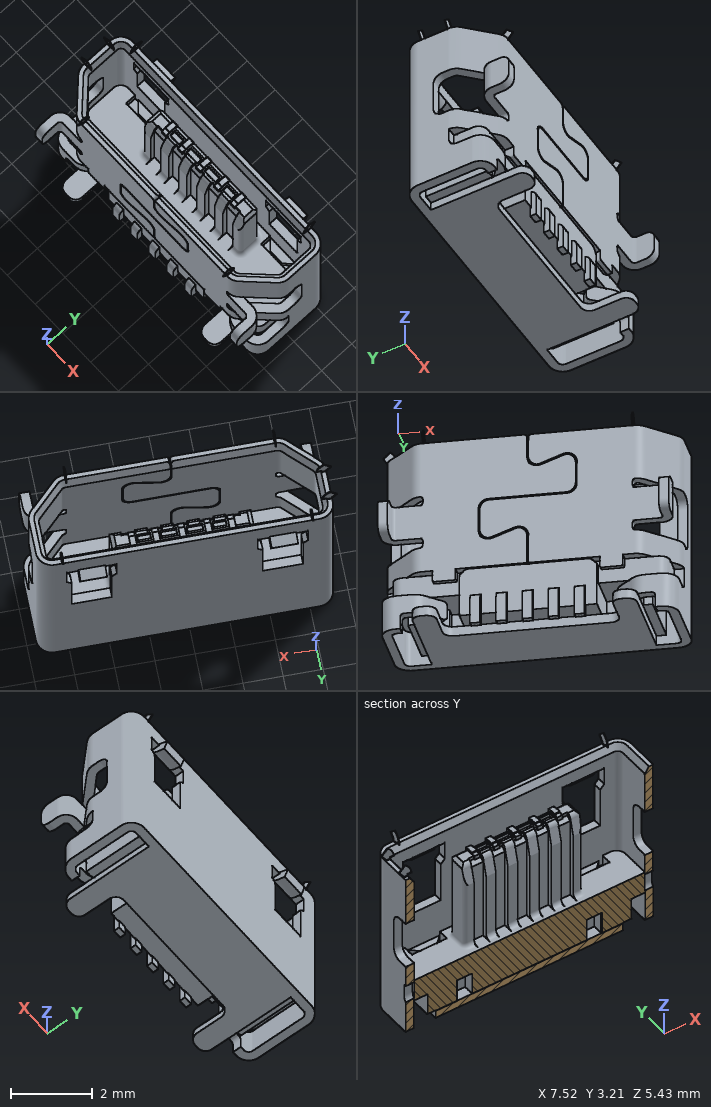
import cadquery as cq
import math


sheet = 0.25
half_width = 3.7
depth = 2.35
rim_z = 5.0
corner_radius = 0.4
mouth_corner_leg = 0.9
mouth_bottom_z = 1.5
inner_half = half_width - sheet
inner_rear = depth - sheet
rim_bevel_width = 0.12
rim_bevel_height = 0.19

window_z = (2.15, 3.55)
window_rear_y = 1.5
window_end_x = 2.61
side_notch_z = 0.9
side_notch_rear_y = 1.065
opening_radius = 0.25
slot_end_radius = 0.09
latch_x = 2.38
latch_upper_width = 1.25
latch_lower_width = 1.0
latch_window_z = (2.6, 4.42)
latch_step_z = 3.84
latch_tab_width = 0.66
latch_tab_root = 0.06
latch_tab_upper_tip = (2.61, 4.36)
latch_tab_lower_tip = (2.507, 4.127)
latch_tab_underside_z = 4.18
latch_tab_bend_middle = (2.18, 4.28)

seam_gap = 0.035
seam_half_width = 1.21
seam_centre_z = 3.32
seam_radius = 0.24
seam_tilt = math.tan(math.radians(20))
seam_slant_z = 0.725
seam_lip_radius = 0.08

arm_z = (2.41, 3.31)
arm_overlap = 0.06
leg_outer_x = 3.63
leg_bend_radius = 0.35
leg_tip_y = -0.6
tab_x = (1.8, 2.373)
tab_bottom_z = 1.2
tab_corner = 0.04
flap_bend_x = 2.92
flap_radius = 0.5
flap_end_x = 2.12
flap_bottom_z = 0.41
flap_corner = 0.1
skirt_end_x = 3.18
base_half_width = 2.8
base_front_y = 0.65
peg_width = 0.6
peg_radius = 0.25

fin_thickness = 0.02
fin_root = 0.06
fin_bottom_z = 5.05
fin_outer_tip = (-0.12, 5.21)
fin_inner_tip = (0.056, 5.38)
fin_bend_middle = (0.185, 5.24)
rear_fin_x = 3.115
front_fin_x = 2.61
left_fin_y = (1.11, 1.86)

floor_z = 1.58
flange_radius = 0.27
block_half_width = 1.715
block_front_y = 0.067
block_corner = 0.15
foot_half_width = 3.05
foot_front_y = 0.35
foot_bevel_x = (2.145, 2.82)
foot_middle_y = 1.3
recess_x = (1.91, 2.95)
recess_front_y = 1.8
recess_depth = 0.3
seat_front_y = 1.86
seat_half_front = 0.21
seat_half_rear = 0.46
seat_drop = 0.12

tongue_half_width = 1.76
tongue_y = (1.25, 1.86)
tongue_top_z = 4.2
tongue_bevel = 0.1
tongue_corner = 0.11
tongue_root_radius = 0.145
tongue_slope_z = 3.6
tongue_slope_end = (1.36, 4.05)
tongue_brow_middle = (1.395, 4.14)
tongue_brow_end_y = 1.47
rib_width = 0.29
groove_back_y = 1.38
groove_slope_z = (4.0, 4.1)
groove_top_y = 1.5
top_pocket_y = (1.555, 1.71)
top_pocket_clearance = 0.05
top_pocket_depth = 0.1

contact_pitch = 0.65
contact_count = 5
contact_x = [(i - (contact_count - 1) / 2) * contact_pitch for i in range(contact_count)]
pin_width = 0.25
pin_front_y = -0.075
pin_thickness = 0.165
pin_bottom_z = -0.05
pin_top_z = 0.785
pin_bend_radius = 0.2
outer_tip_x = 1.235
tip_width = 0.16
tip_y = (1.465, 1.585, 1.725, 1.85)
tip_height = 0.05
tip_drop = 0.03

pick_margin = 0.01


def box(x, y, z):
    """Block between two X, two Y and two Z values."""
    return cq.Workplane("XY").box(
        x[1] - x[0], y[1] - y[0], z[1] - z[0], centered=False
    ).translate((x[0], y[0], z[0]))


def mirrored(body):
    """The body together with its copy across the YZ plane."""
    return body.union(body.mirror("YZ"))


def mouth_sketch(inset, z):
    """Outline of the mouth, moved inward by `inset`, at height `z`."""
    x = half_width - inset
    front = inset
    rear = depth - inset
    leg = mouth_corner_leg - inset * (2 - math.sqrt(2))
    outline = (
        cq.Sketch()
        .polygon([
            (-x, rear), (-x, front + leg), (-x + leg, front),
            (x - leg, front), (x, front + leg), (x, rear), (-x, rear),
        ])
        .vertices()
        .fillet(corner_radius - inset)
    )
    return cq.Workplane("XY", origin=(0, 0, z)).placeSketch(outline)


def skirt_prism(inset, height):
    """Rounded rectangular block from the bottom of the shell up to `height`."""
    block = box(
        (-half_width + inset, half_width - inset), (inset, depth - inset), (0, height)
    )
    return block.edges("|Z").fillet(corner_radius - inset)


def rounded_path(points, radius):
    """Wire in the XZ plane through the points, with every inner corner rounded."""
    path = cq.Workplane("XZ").moveTo(*points[0])
    for before, corner, after in zip(points, points[1:], points[2:]):
        a = cq.Vector(before[0] - corner[0], before[1] - corner[1]).normalized()
        b = cq.Vector(after[0] - corner[0], after[1] - corner[1]).normalized()
        half_angle = a.getAngle(b) / 2
        setback = radius / math.tan(half_angle)
        c = cq.Vector(*corner)
        crown = radius / math.sin(half_angle) - radius
        middle = c + (a + b).normalized() * crown
        start = c + a * setback
        end = c + b * setback
        path = path.lineTo(start.x, start.y)
        path = path.threePointArc((middle.x, middle.y), (end.x, end.y))
    return path.lineTo(*points[-1])


def seam():
    """Dovetailed gap where the two ends of the sheet meet, notched at the rim."""
    slant_rise = seam_half_width * seam_tilt
    upper = seam_centre_z + seam_slant_z
    lower = seam_centre_z - seam_slant_z
    path = rounded_path(
        [
            (0, rim_z),
            (0, upper),
            (seam_half_width, upper + slant_rise),
            (seam_half_width, seam_centre_z),
            (-seam_half_width, seam_centre_z),
            (-seam_half_width, lower - slant_rise),
            (0, lower),
            (0, mouth_bottom_z),
        ],
        seam_radius,
    )
    gap = (
        cq.Workplane("XY", origin=(0, 0, rim_z))
        .center(0, sheet / 2)
        .rect(seam_gap, 2 * sheet)
        .sweep(path)
    )
    edge = seam_gap / 2
    lip = seam_lip_radius
    along = lip * (1 - math.sqrt(0.5))
    notch = (
        cq.Workplane("XZ", origin=(0, sheet, 0))
        .moveTo(-edge - lip, rim_z)
        .lineTo(edge + lip, rim_z)
        .threePointArc((edge + along, rim_z - along), (edge, rim_z - lip))
        .lineTo(-edge, rim_z - lip)
        .threePointArc((-edge - along, rim_z - along), (-edge - lip, rim_z))
        .close()
        .extrude(sheet)
    )
    return gap.union(notch)


def side_window():
    """Left-hand window reaching from the side wall round into the front wall."""
    window = box((-half_width, -window_end_x), (0, window_rear_y), window_z)
    window = window.edges("|X and >Y").fillet(opening_radius)
    arm_gap = box((-half_width, -window_end_x), (0, sheet), arm_z)
    return window.cut(arm_gap).edges("|Y and >X").fillet(slot_end_radius).union(arm_gap)


def latch_window():
    """Left-hand opening in the rear wall, wider in its upper part."""
    step = (latch_upper_width - latch_lower_width) / 2
    upper = latch_upper_width / 2
    lower = latch_lower_width / 2
    bottom, top = latch_window_z
    return (
        cq.Workplane("XZ", origin=(-latch_x, depth, 0))
        .polyline([
            (-lower, bottom), (lower, bottom), (lower, latch_step_z - step / 2),
            (upper, latch_step_z + step / 2), (upper, top), (-upper, top),
            (-upper, latch_step_z + step / 2), (-lower, latch_step_z - step / 2),
        ])
        .close()
        .extrude(sheet)
    )


def latch_tab():
    """Left-hand tab bent outward from the top edge of the latch window."""
    top = latch_window_z[1]
    return (
        cq.Workplane("YZ", origin=(-latch_x - latch_tab_width / 2, 0, 0))
        .moveTo(inner_rear, top + latch_tab_root)
        .lineTo(depth, top + latch_tab_root)
        .lineTo(*latch_tab_upper_tip)
        .lineTo(*latch_tab_lower_tip)
        .lineTo(depth, latch_tab_underside_z)
        .threePointArc(latch_tab_bend_middle, (inner_rear, top))
        .close()
        .extrude(latch_tab_width)
    )


def solder_leg():
    """Left-hand arm of the front wall, bent forward into a soldering leg."""
    bend_x = -leg_outer_x + leg_bend_radius
    bend_y = sheet - leg_bend_radius
    inner_radius = leg_bend_radius - sheet
    diagonal = math.sqrt(0.5)
    leg = (
        cq.Workplane("XY", origin=(0, 0, arm_z[0]))
        .moveTo(-window_end_x + arm_overlap, 0)
        .lineTo(-window_end_x + arm_overlap, sheet)
        .lineTo(bend_x, sheet)
        .threePointArc(
            (bend_x - leg_bend_radius * diagonal, bend_y + leg_bend_radius * diagonal),
            (-leg_outer_x, bend_y),
        )
        .lineTo(-leg_outer_x, leg_tip_y)
        .lineTo(-leg_outer_x + sheet, leg_tip_y)
        .lineTo(-leg_outer_x + sheet, bend_y)
        .threePointArc(
            (bend_x - inner_radius * diagonal, bend_y + inner_radius * diagonal),
            (bend_x, 0),
        )
        .close()
        .extrude(arm_z[1] - arm_z[0])
    )
    return leg.edges("|X and <Y").fillet(opening_radius)


def stop_tab():
    """Left-hand tab hanging from the front wall, bevelled on its inner lower edge."""
    tab = box((-tab_x[1], -tab_x[0]), (0, sheet), (tab_bottom_z, mouth_bottom_z))
    tab = tab.edges("|X and >Y and <Z").chamfer(sheet / 2)
    return tab.edges("|Y and <Z").fillet(tab_corner)


def skirt_flap():
    """Left-hand flap that turns inward by 45 degrees from the skirt front."""
    half_bend = math.radians(22.5)
    inner_radius = flap_radius - sheet

    def on_bend(radius, angle):
        return (-flap_bend_x + radius * math.sin(angle), flap_radius - radius * math.cos(angle))

    outer_x, outer_y = on_bend(flap_radius, math.pi / 4)
    inner_x, inner_y = on_bend(inner_radius, math.pi / 4)
    straight = -flap_end_x - outer_x
    root_x = -half_width + corner_radius
    flap = (
        cq.Workplane("XY", origin=(0, 0, flap_bottom_z))
        .moveTo(root_x, 0)
        .lineTo(-flap_bend_x, 0)
        .threePointArc(on_bend(flap_radius, half_bend), (outer_x, outer_y))
        .lineTo(outer_x + straight, outer_y + straight)
        .lineTo(inner_x + straight, inner_y + straight)
        .lineTo(inner_x, inner_y)
        .threePointArc(on_bend(inner_radius, half_bend), (-flap_bend_x, sheet))
        .lineTo(root_x, sheet)
        .close()
        .extrude(side_notch_z - flap_bottom_z)
    )
    end_face = cq.selectors.DirectionMinMaxSelector(cq.Vector(1, 1, 0))
    return flap.faces(end_face).edges("<Z or >Z").fillet(flap_corner)


def base_plate():
    """Bottom plate with two round-ended pegs reaching forward."""
    peg_inner_x = base_half_width - peg_width
    plate = box(
        (-base_half_width, base_half_width), (base_front_y, depth - sheet / 2), (0, sheet)
    )
    peg = box((-base_half_width, -peg_inner_x), (leg_tip_y, base_front_y), (0, sheet))
    peg = peg.edges("|Z and <Y").fillet(peg_radius)
    plate = plate.union(mirrored(peg))
    inner_corners = cq.selectors.BoxSelector(
        (-peg_inner_x - pick_margin, base_front_y - pick_margin, 0),
        (peg_inner_x + pick_margin, base_front_y + pick_margin, sheet),
    )
    return plate.edges("|Z").edges(inner_corners).fillet(peg_radius)


def skirt():
    """Rectangular lower part of the shell, without its flaps."""
    body = skirt_prism(0, mouth_bottom_z).cut(skirt_prism(sheet, mouth_bottom_z))
    notch = box(
        (-half_width, half_width), (0, side_notch_rear_y), (side_notch_z, rim_z)
    ).edges("|X and >Y and <Z").fillet(opening_radius)
    front_opening = box(
        (-flap_bend_x, flap_bend_x), (0, sheet), (0, side_notch_z)
    )
    lower_opening = box(
        (-skirt_end_x, skirt_end_x), (0, sheet), (0, flap_bottom_z)
    ).edges("|Y and >Z").fillet(flap_corner)
    return body.cut(notch).cut(front_opening).cut(lower_opening)


def lip_fin():
    """Thin remnant of the flared lip, rising from a wall whose outer face is Y = 0."""
    return (
        cq.Workplane("YZ", origin=(-fin_thickness / 2, 0, 0))
        .moveTo(sheet - rim_bevel_width, rim_z - fin_root)
        .lineTo(sheet - rim_bevel_width, fin_bottom_z)
        .lineTo(sheet, fin_bottom_z)
        .threePointArc(fin_bend_middle, fin_inner_tip)
        .lineTo(*fin_outer_tip)
        .lineTo(0, fin_bottom_z)
        .lineTo(0, rim_z - fin_root)
        .close()
        .extrude(fin_thickness)
    )


def lip_fins():
    """Two fins on the front wall, two on the rear wall and two on the left wall."""
    fin = lip_fin()
    origin = (0, 0, 0)
    up = (0, 0, 1)
    rear = fin.rotate(origin, up, 180).translate((0, depth, 0))
    left = fin.rotate(origin, up, -90).translate((-half_width, 0, 0))
    fins = []
    for side in (-1, 1):
        fins.append(fin.translate((side * front_fin_x, 0, 0)))
        fins.append(rear.translate((side * rear_fin_x, 0, 0)))
    for y in left_fin_y:
        fins.append(left.translate((0, y, 0)))
    return fins


def make_shell():
    mouth_height = rim_z - mouth_bottom_z
    shell = mouth_sketch(0, mouth_bottom_z).extrude(mouth_height)
    shell = shell.cut(mouth_sketch(sheet, mouth_bottom_z).extrude(mouth_height))
    bevel_angle = math.degrees(math.atan(rim_bevel_width / rim_bevel_height))
    bevel = mouth_sketch(sheet, rim_z - rim_bevel_height).extrude(
        rim_bevel_height, taper=-bevel_angle
    )
    shell = shell.cut(bevel).cut(mirrored(side_window())).cut(mirrored(latch_window()))
    shell = shell.cut(seam())
    shell = shell.union(skirt())
    for feature in (latch_tab(), solder_leg(), stop_tab(), skirt_flap()):
        shell = shell.union(mirrored(feature))
    shell = shell.union(base_plate())
    for fin in lip_fins():
        shell = shell.union(fin)
    return shell


def insulator_body():
    """Flange filling the shell, with the front block and the foot below it."""
    flange = box(
        (-inner_half, inner_half), (sheet, inner_rear), (side_notch_z, floor_z)
    ).edges("|Z").fillet(flange_radius)
    mouth = mouth_sketch(sheet, mouth_bottom_z).extrude(floor_z - mouth_bottom_z)
    below_mouth = box(
        (-inner_half, inner_half), (sheet, inner_rear), (side_notch_z, mouth_bottom_z)
    )
    flange = flange.intersect(below_mouth.union(mouth))
    block = box(
        (-block_half_width, block_half_width), (block_front_y, inner_rear),
        (sheet, mouth_bottom_z),
    ).edges("|Y and >Z").chamfer(block_corner)
    return flange.union(block).union(mirrored(foot()))


def foot():
    """Left half of the foot under the flange, bevelled to clear the shell flap."""
    bevel_end, bevel_start = foot_bevel_x
    bevel_end_y = foot_front_y + bevel_start - bevel_end
    return (
        cq.Workplane("XY", origin=(0, 0, sheet))
        .polyline([
            (0, inner_rear), (-foot_half_width, inner_rear),
            (-foot_half_width, foot_front_y), (-bevel_start, foot_front_y),
            (-bevel_end, bevel_end_y), (-bevel_end, foot_middle_y), (0, foot_middle_y),
        ])
        .close()
        .extrude(side_notch_z - sheet)
    )


def latch_recess():
    """Left-hand recess in the floor, with a tapered seat left standing in it."""
    recess = box(
        (-recess_x[1], -recess_x[0]), (recess_front_y, inner_rear),
        (floor_z - recess_depth, floor_z),
    )
    seat = (
        cq.Workplane("XY", origin=(-latch_x, 0, floor_z - recess_depth))
        .polyline([
            (-seat_half_rear, inner_rear), (-seat_half_front, seat_front_y),
            (seat_half_front, seat_front_y), (seat_half_rear, inner_rear),
        ])
        .close()
        .extrude(recess_depth - seat_drop)
    )
    return recess.cut(seat)


def tongue_blank():
    """Tongue before its grooves are cut: leaning front, bevelled top, flared root."""
    front, rear = tongue_y
    side = (
        cq.Workplane("YZ", origin=(-tongue_half_width, 0, 0))
        .moveTo(rear, floor_z)
        .lineTo(front, floor_z)
        .lineTo(front, tongue_slope_z)
        .lineTo(*tongue_slope_end)
        .threePointArc(tongue_brow_middle, (tongue_brow_end_y, tongue_top_z))
        .lineTo(rear - tongue_bevel, tongue_top_z)
        .lineTo(rear, tongue_top_z - tongue_bevel)
        .close()
        .extrude(2 * tongue_half_width)
    )
    upright = box((-tongue_half_width, tongue_half_width), tongue_y, (floor_z, tongue_top_z))
    upright = upright.edges("|Z").fillet(tongue_corner)
    upright = upright.intersect(side)
    facing = box((-tongue_half_width, tongue_half_width), tongue_y, (floor_z, tongue_top_z))
    facing = facing.edges("|Y and >Z").chamfer(tongue_bevel)
    margin = 2 * tongue_root_radius
    pad = box(
        (-tongue_half_width - margin, tongue_half_width + margin),
        (front - margin, rear + margin),
        (floor_z - sheet, floor_z),
    )
    root_edges = cq.selectors.BoxSelector(
        (-tongue_half_width - pick_margin, front - pick_margin, floor_z - pick_margin),
        (tongue_half_width + pick_margin, rear + pick_margin, floor_z + pick_margin),
    )
    blank = pad.union(upright.intersect(facing)).edges(root_edges).fillet(tongue_root_radius)
    return blank.cut(pad)


def contact_groove():
    """Front groove for the contact at X = 0, sloping back at its upper end."""
    width = contact_pitch - rib_width
    front = tongue_y[0] - 2 * tongue_root_radius
    slope_start, slope_end = groove_slope_z
    return (
        cq.Workplane("YZ", origin=(-width / 2, 0, 0))
        .polyline([
            (front, floor_z), (groove_back_y, floor_z), (groove_back_y, slope_start),
            (groove_top_y, slope_end), (groove_top_y, tongue_top_z), (front, tongue_top_z),
        ])
        .close()
        .extrude(width)
    )


def pin():
    """Solder pin at X = 0, turning down out of the front block."""
    back_y = pin_front_y + pin_thickness
    bend_z = pin_top_z - pin_bend_radius
    diagonal = math.sqrt(0.5)
    bend_y = pin_front_y + pin_bend_radius
    return (
        cq.Workplane("YZ", origin=(-pin_width / 2, 0, 0))
        .moveTo(back_y, pin_bottom_z)
        .lineTo(pin_front_y, pin_bottom_z)
        .lineTo(pin_front_y, bend_z)
        .threePointArc(
            (bend_y - pin_bend_radius * diagonal, bend_z + pin_bend_radius * diagonal),
            (bend_y, pin_top_z),
        )
        .lineTo(bend_y, bend_z)
        .lineTo(back_y, bend_z)
        .close()
        .extrude(pin_width)
    )


def contact_tip(x):
    """Visible end of one contact on top of the tongue: a crown with a step in front of it."""
    front, step, crown, rear = tip_y
    top = tongue_top_z + tip_height
    return (
        cq.Workplane("YZ", origin=(x - tip_width / 2, 0, 0))
        .polyline([
            (front, tongue_top_z - tongue_bevel), (front, top - tip_drop),
            (step, top - tip_drop), (step, top), (crown, top),
            (rear, top - tip_drop), (rear, tongue_top_z - tongue_bevel),
        ])
        .close()
        .extrude(tip_width)
    )


def make_tongue():
    """Tongue with its contact grooves, top pockets and contact tips."""
    tongue = tongue_blank()
    for x in contact_x:
        tongue = tongue.cut(contact_groove().translate((x, 0, 0)))
    tips = [max(-outer_tip_x, min(outer_tip_x, x)) for x in contact_x]
    side_gap = tip_width / 2 + top_pocket_clearance
    for left, right in zip(tips, tips[1:]):
        pocket = box(
            (left + side_gap, right - side_gap), top_pocket_y,
            (tongue_top_z - top_pocket_depth, tongue_top_z),
        )
        tongue = tongue.cut(pocket)
    for x in tips:
        tongue = tongue.union(contact_tip(x))
    return tongue


def make_insulator():
    body = insulator_body().cut(mirrored(latch_recess())).union(make_tongue())
    for x in contact_x:
        body = body.union(pin().translate((x, 0, 0)))
    return body


shell = make_shell()
insulator = make_insulator()
result = cq.Compound.makeCompound([*shell.vals(), *insulator.vals()])